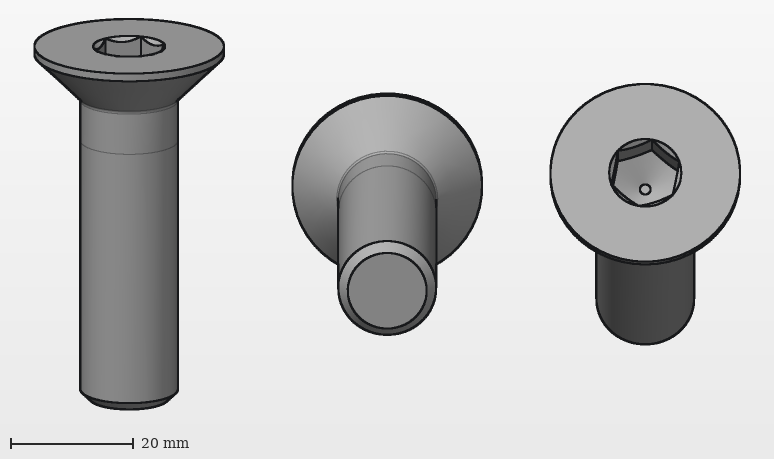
import cadquery as cq
import math

length = 60.0
head_diameter = 31.0
shank_diameter = 16.0
rim_height = 1.3
neck_radius = 0.85
tip_chamfer = 1.55
thread_start = 44.0

socket_across_flats = 10.2
socket_corner_depth = 4.85
socket_floor_angle = 30.0
floor_flat_diameter = 1.75

head_radius = head_diameter / 2
shank_radius = shank_diameter / 2
cone_top = length - rim_height
cone_bottom = cone_top - (head_radius - shank_radius)
socket_corner_radius = socket_across_flats / math.sqrt(3)


def make_threaded_length():
    threads = cq.Workplane("XY").circle(shank_radius).extrude(thread_start)
    return threads.faces("<Z").chamfer(tip_chamfer)


def make_head_and_shank():
    half_angle = math.radians(45 / 2)
    tangent_length = neck_radius * math.tan(half_angle)
    diagonal_step = tangent_length * math.sin(math.radians(45))
    arc_center_x = shank_radius + neck_radius
    arc_bottom = cone_bottom - tangent_length
    arc_middle = (
        arc_center_x - neck_radius * math.cos(half_angle),
        arc_bottom + neck_radius * math.sin(half_angle),
    )
    arc_end = (shank_radius + diagonal_step, cone_bottom + diagonal_step)
    return (
        cq.Workplane("XZ")
        .moveTo(0, thread_start)
        .lineTo(shank_radius, thread_start)
        .lineTo(shank_radius, arc_bottom)
        .threePointArc(arc_middle, arc_end)
        .lineTo(head_radius, cone_top)
        .lineTo(head_radius, length)
        .lineTo(0, length)
        .close()
        .revolve(360, (0, 0, 0), (0, 1, 0))
    )


def make_socket():
    hex_prism = (
        cq.Workplane("XY", origin=(0, 0, cone_bottom))
        .polygon(6, 2 * socket_corner_radius)
        .extrude(length - cone_bottom)
    )
    floor_flat_radius = floor_flat_diameter / 2
    floor_drop = (socket_corner_radius - floor_flat_radius) * math.tan(math.radians(socket_floor_angle))
    floor_limit = (
        cq.Workplane("XZ")
        .moveTo(0, length)
        .lineTo(socket_corner_radius, length)
        .lineTo(socket_corner_radius, length - socket_corner_depth)
        .lineTo(floor_flat_radius, length - socket_corner_depth - floor_drop)
        .lineTo(0, length - socket_corner_depth - floor_drop)
        .close()
        .revolve(360, (0, 0, 0), (0, 1, 0))
    )
    entry_cone = (
        cq.Workplane("XZ")
        .moveTo(0, length)
        .lineTo(socket_corner_radius, length)
        .lineTo(0, length - socket_corner_radius)
        .close()
        .revolve(360, (0, 0, 0), (0, 1, 0))
    )
    return hex_prism.intersect(floor_limit).union(entry_cone)


body = make_threaded_length().union(make_head_and_shank(), clean=False)
result = body.cut(make_socket(), clean=False)